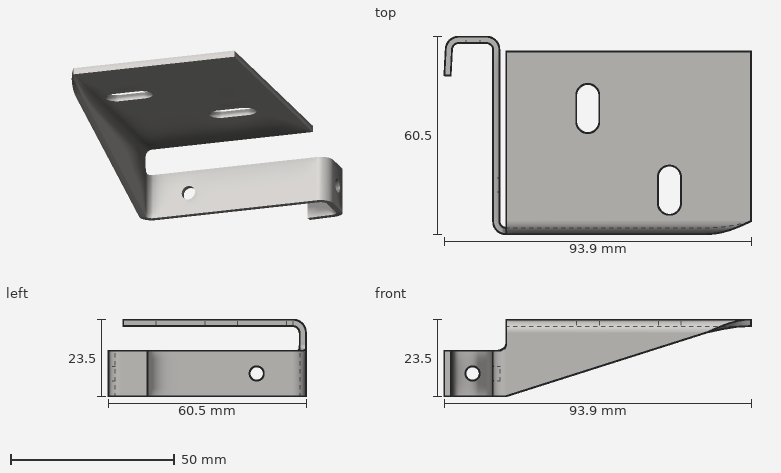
import cadquery as cq
import math

THICKNESS = 2.0
INNER_BEND = 2.0
OUTER_BEND = INNER_BEND + THICKNESS
NEUTRAL_FACTOR = 0.38
NEUTRAL_BEND = INNER_BEND + NEUTRAL_FACTOR * THICKNESS

TOTAL_HEIGHT = 23.5
PLATE_LENGTH = 75.0
PLATE_BACK_Y = 56.0
PLATE_BEND_Z = TOTAL_HEIGHT - OUTER_BEND
PLATE_BEND_DEVELOPED = NEUTRAL_BEND * math.pi / 2
SLOPE = (PLATE_BEND_Z + PLATE_BEND_DEVELOPED) / PLATE_LENGTH
FLANGE_TOP_LENGTH = PLATE_BEND_Z / SLOPE

STRIP_HEIGHT = 14.0
HOOK_BACK_Y = 60.5
HOOK_FLAT = 8.5
HOOK_DEPTH = 12.0
LEG_LEAN = math.radians(3.0)
WALL_OUTER_X = -OUTER_BEND
WALL_INNER_X = WALL_OUTER_X + THICKNESS
HOOK_BEND_Y = HOOK_BACK_Y - OUTER_BEND
HOOK_FLAT_RIGHT_X = WALL_INNER_X - OUTER_BEND
HOOK_FLAT_LEFT_X = HOOK_FLAT_RIGHT_X - HOOK_FLAT

CORNER_FILLET = 2.0

SLOT_WIDTH = 7.0
SLOT_LENGTH = 15.0
SLOT_CENTERS = [(25.0, 38.5), (50.0, 13.5)]
HOLE_DIAMETER = 4.3
HOLE_Z = STRIP_HEIGHT / 2
WALL_HOLE_Y = 15.1
HOOK_HOLE_X = (HOOK_FLAT_LEFT_X + HOOK_FLAT_RIGHT_X) / 2

CUT_MARGIN = 1.0
STATION_COUNT = 7


def polar(center, radius, angle):
    """Point at a radius and angle (radians) about a 2D center."""
    return (center[0] + radius * math.cos(angle), center[1] + radius * math.sin(angle))


def ring_sector(plane, center, start, end, length):
    """Bend of the sheet between two angles (radians), extruded along the plane's normal."""
    middle = (start + end) / 2
    return (
        cq.Workplane(plane)
        .moveTo(*polar(center, OUTER_BEND, start))
        .threePointArc(polar(center, OUTER_BEND, middle), polar(center, OUTER_BEND, end))
        .lineTo(*polar(center, INNER_BEND, end))
        .threePointArc(polar(center, INNER_BEND, middle), polar(center, INNER_BEND, start))
        .close()
        .extrude(length)
    )


def wrapped_cutter(plane, center, stations, far):
    """Solid round a bend axis, from each station's height up to the far height.

    Each station is an (angle, height) pair, with the height along the bend axis.
    """
    wires = []
    for angle, height in stations:
        inner = polar(center, INNER_BEND - CUT_MARGIN, angle)
        outer = polar(center, OUTER_BEND + CUT_MARGIN, angle)
        corners = [(*inner, height), (*outer, height), (*outer, far), (*inner, far)]
        wires.append(cq.Wire.makePolygon([plane.toWorldCoords(c) for c in corners], close=True))
    return cq.Workplane(cq.Solid.makeLoft(wires))


def make_strip():
    """Front corner bend, side wall and hook, with the two screw holes."""
    leg_center = (HOOK_FLAT_LEFT_X, HOOK_BEND_Y)
    leg_angle = math.pi - LEG_LEAN
    leg_outer = polar(leg_center, OUTER_BEND, leg_angle)
    leg_inner = polar(leg_center, INNER_BEND, leg_angle)
    leg_length = (leg_inner[1] - (HOOK_BACK_Y - HOOK_DEPTH)) / math.cos(LEG_LEAN)
    leg_run = math.pi * 3 / 2 - LEG_LEAN
    leg_end_outer = polar(leg_outer, leg_length, leg_run)
    leg_end_inner = polar(leg_inner, leg_length, leg_run)
    leg_middle = (math.pi / 2 + leg_angle) / 2

    front_center = (0, OUTER_BEND)
    front_middle = math.radians(225)
    hook_center = (HOOK_FLAT_RIGHT_X, HOOK_BEND_Y)
    hook_middle = math.radians(45)

    strip = (
        cq.Workplane("XY")
        .moveTo(0, 0)
        .threePointArc(polar(front_center, OUTER_BEND, front_middle), (WALL_OUTER_X, OUTER_BEND))
        .lineTo(WALL_OUTER_X, HOOK_BEND_Y)
        .threePointArc(
            polar(hook_center, INNER_BEND, hook_middle),
            (HOOK_FLAT_RIGHT_X, HOOK_BACK_Y - THICKNESS),
        )
        .lineTo(HOOK_FLAT_LEFT_X, HOOK_BACK_Y - THICKNESS)
        .threePointArc(polar(leg_center, INNER_BEND, leg_middle), leg_inner)
        .lineTo(*leg_end_inner)
        .lineTo(*leg_end_outer)
        .lineTo(*leg_outer)
        .threePointArc(polar(leg_center, OUTER_BEND, leg_middle), (HOOK_FLAT_LEFT_X, HOOK_BACK_Y))
        .lineTo(HOOK_FLAT_RIGHT_X, HOOK_BACK_Y)
        .threePointArc(polar(hook_center, OUTER_BEND, hook_middle), (WALL_INNER_X, HOOK_BEND_Y))
        .lineTo(WALL_INNER_X, OUTER_BEND)
        .threePointArc(polar(front_center, INNER_BEND, front_middle), (0, THICKNESS))
        .close()
        .extrude(STRIP_HEIGHT)
    )
    hole_depth = THICKNESS + 2 * CUT_MARGIN
    wall_hole = (
        cq.Workplane("YZ", origin=(WALL_OUTER_X - CUT_MARGIN, WALL_HOLE_Y, HOLE_Z))
        .circle(HOLE_DIAMETER / 2)
        .extrude(hole_depth)
    )
    hook_hole = (
        cq.Workplane("XZ", origin=(HOOK_HOLE_X, HOOK_BACK_Y + CUT_MARGIN, HOLE_Z))
        .circle(HOLE_DIAMETER / 2)
        .extrude(hole_depth)
    )
    return strip.cut(wall_hole).cut(hook_hole)


def make_corner_fillet():
    """Concave fillet web on top of the front corner bend, beside the flange."""
    center = (0, OUTER_BEND)
    flange_angle = math.radians(270)
    sweep = CORNER_FILLET / NEUTRAL_BEND
    plane = cq.Plane.named("XY", origin=(0, 0, STRIP_HEIGHT))
    web = ring_sector(plane, center, flange_angle - sweep, flange_angle, CORNER_FILLET)

    stations = []
    for index in range(STATION_COUNT):
        arc = math.pi / 2 * index / (STATION_COUNT - 1)
        angle = flange_angle - sweep * (1 - math.sin(arc))
        stations.append((angle, CORNER_FILLET * (1 - math.cos(arc))))
    return web.cut(wrapped_cutter(plane, center, stations, CORNER_FILLET + CUT_MARGIN))


def make_flange():
    """Triangular flange hanging from the plate bend, with its sloped lower edge."""
    return (
        cq.Workplane("XZ")
        .polyline([(0, 0), (FLANGE_TOP_LENGTH, PLATE_BEND_Z), (0, PLATE_BEND_Z)])
        .close()
        .extrude(-THICKNESS)
    )


def make_plate_bend():
    """Bend between flange and plate; the sloped edge winds round it to the plate corner."""
    center = (OUTER_BEND, PLATE_BEND_Z)
    plate_angle = math.pi / 2
    flange_angle = math.pi
    bend = ring_sector("YZ", center, plate_angle, flange_angle, PLATE_LENGTH)

    stations = []
    for index in range(STATION_COUNT):
        part_way = index / (STATION_COUNT - 1)
        angle = flange_angle + (plate_angle - flange_angle) * part_way
        stations.append((angle, FLANGE_TOP_LENGTH + (PLATE_LENGTH - FLANGE_TOP_LENGTH) * part_way))
    return bend.cut(wrapped_cutter(cq.Plane.named("YZ"), center, stations, PLATE_LENGTH + CUT_MARGIN))


def make_plate():
    """Flat shelf plate with its two slots."""
    bottom_z = TOTAL_HEIGHT - THICKNESS
    plate = (
        cq.Workplane("XY", origin=(0, OUTER_BEND, bottom_z))
        .box(PLATE_LENGTH, PLATE_BACK_Y - OUTER_BEND, THICKNESS, centered=False)
    )
    slots = (
        cq.Workplane("XY", origin=(0, 0, bottom_z))
        .pushPoints(SLOT_CENTERS)
        .slot2D(SLOT_LENGTH, SLOT_WIDTH, 90)
        .extrude(THICKNESS)
    )
    return plate.cut(slots)


result = (
    make_strip()
    .union(make_flange())
    .union(make_corner_fillet())
    .union(make_plate_bend())
    .union(make_plate())
)